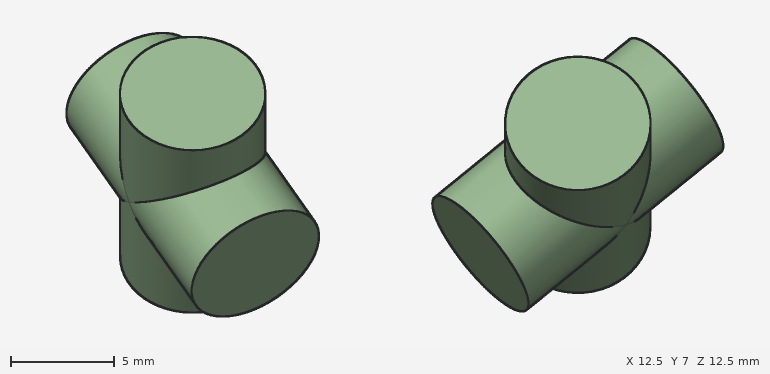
import cadquery as cq

bar_length = 12.5
bar_diameter = 7.0


def centred_bar(plane):
    """Round bar along the plane's normal, centred on the origin."""
    return cq.Workplane(plane).circle(bar_diameter / 2).extrude(bar_length / 2, both=True)


bar_along_x = centred_bar("YZ")
bar_along_z = centred_bar("XY")

result = bar_along_x.union(bar_along_z)